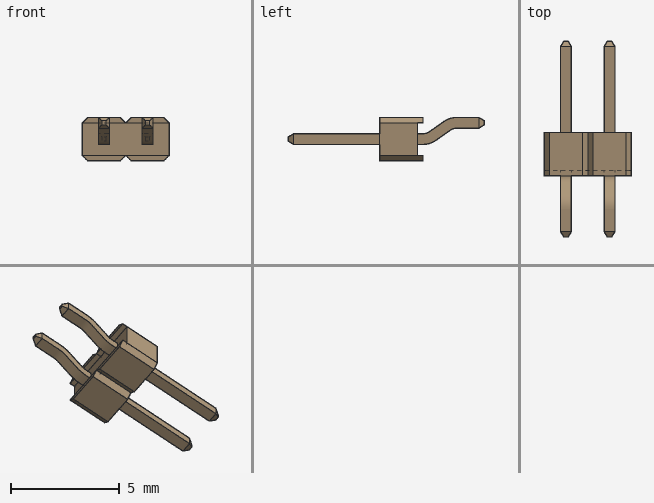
import cadquery as cq
import math


pin_count = 2
pitch = 2.0
housing_height = 2.0
housing_depth = 2.0
chamfer = 0.25
recess_depth = 0.25
housing_width = pin_count * pitch

pin_size = 0.5
tip_size = 0.2
tip_length = 0.25
rear_length = 4.19
front_length = 2.81
bend_radius = 0.75
bend_angle = math.radians(35)
pin_rise = (housing_height - pin_size) / 2


def make_housing():
    """Row of chamfered cells with a recessed front between two lips."""
    body = cq.Workplane("XY").box(housing_width, housing_depth, housing_height)
    body = body.translate((0, housing_depth / 2, 0))

    half_height = housing_height / 2
    for index in range(pin_count + 1):
        boundary = index * pitch - housing_width / 2
        for side in (1, -1):
            valley = (
                cq.Workplane("XZ", origin=(boundary, 0, 0))
                .moveTo(-chamfer, side * half_height)
                .lineTo(0, side * (half_height - chamfer))
                .lineTo(chamfer, side * half_height)
                .close()
                .extrude(-housing_depth)
            )
            body = body.cut(valley)

    recess = cq.Workplane("XY").box(
        housing_width, recess_depth, housing_height - 2 * chamfer
    )
    return body.cut(recess.translate((0, recess_depth / 2, 0)))


def make_tip(direction, y, z):
    """Pyramid frustum on a pin end, pointing along +Y (1) or -Y (-1)."""
    plane = cq.Plane(origin=(0, y, z), xDir=(1, 0, 0), normal=(0, direction, 0))
    return (
        cq.Workplane(plane)
        .rect(pin_size, pin_size)
        .workplane(offset=tip_length)
        .rect(tip_size, tip_size)
        .loft(ruled=True)
    )


def make_pin():
    """Square pin with an S-bend in front of the housing and tapered ends."""
    rear_end = housing_depth + rear_length - tip_length
    front_end = -front_length + tip_length

    arc_run = bend_radius * math.sin(bend_angle)
    arc_rise = bend_radius * (1 - math.cos(bend_angle))
    slope_rise = pin_rise - 2 * arc_rise
    slope_run = slope_rise / math.tan(bend_angle)
    bend_end = -(2 * arc_run + slope_run)
    half_run = bend_radius * math.sin(bend_angle / 2)
    half_rise = bend_radius * (1 - math.cos(bend_angle / 2))

    path = (
        cq.Workplane("YZ")
        .moveTo(rear_end, 0)
        .lineTo(0, 0)
        .threePointArc((-half_run, half_rise), (-arc_run, arc_rise))
        .lineTo(-arc_run - slope_run, arc_rise + slope_rise)
        .threePointArc((bend_end + half_run, pin_rise - half_rise), (bend_end, pin_rise))
        .lineTo(front_end, pin_rise)
    )
    shank = (
        cq.Workplane("XZ", origin=(0, rear_end, 0))
        .rect(pin_size, pin_size)
        .sweep(path)
    )
    rear_tip = make_tip(1, rear_end, 0)
    front_tip = make_tip(-1, front_end, pin_rise)
    return shank.union(rear_tip).union(front_tip)


result = make_housing()
pin = make_pin()
for index in range(pin_count):
    pin_x = (index - (pin_count - 1) / 2) * pitch
    result = result.union(pin.translate((pin_x, 0, 0)))